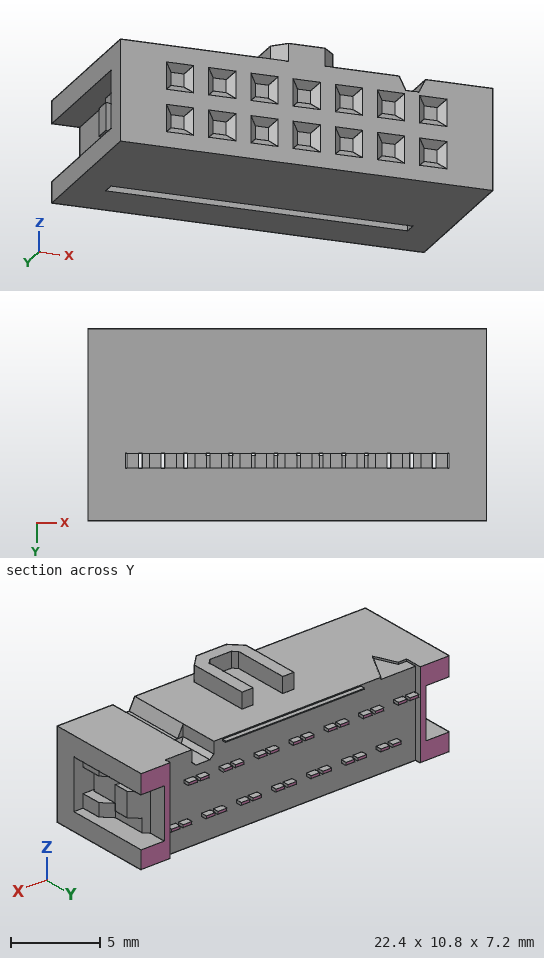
import cadquery as cq


length = 22.4
depth = 10.8
overall_height = 7.2
body_height = 6.12
half_length = length / 2

contacts_per_row = 7
row_span = 15.23
pitch = row_span / (contacts_per_row - 1)
socket_mouth = 1.64
socket_floor = 0.78
socket_depth = 0.4
lower_row_z = 1.75
upper_row_z = lower_row_z + pitch

boss_width = 3.76
boss_length = 5.02
boss_wall = 0.8
boss_outer_chamfer = 0.78
boss_inner_chamfer = 0.3
boss_base = 0.83

slot_length = 18.17
slot_front = 7.0
slot_back = 7.85
narrow_length = 10.08
narrow_back = 7.12
lip_thickness = 0.1

blade_width = 1.5
blade_thickness = 0.2
blade_gap = 0.2
blade_stagger = pitch / 4

mark_depth = 0.13
mark_shoulder_y = 6.23
mark_shoulder_length = 0.6
mark_tip_offset = 1.25
mark_tip_y = 4.75
mark_end_offset = 2.5

key_center_x = 6.36
key_width = 1.6
key_floor_width = 0.78
key_depth = 0.8
key_pocket_front = 4.3
key_pocket_floor_front = 4.48
key_pocket_floor_width = 1.0
key_pocket_extra_depth = 0.27

recess_front = 1.48
recess_bottom = 1.28
recess_top = 4.75
recess_depth = 1.68
ramp_start_y = 6.23
arm_depth = 1.35
latch_bottom = 2.2
latch_top = 3.88
latch_front = 4.23
latch_depth = 0.75
latch_undercut = 0.18
stop_start_y = 3.55
stop_depth = 0.67
arm_front = 1.64
arm_gap_depth = 0.13


def box(x_range, y_range, z_range):
    """Axis-aligned block between the given limits."""
    size = [high - low for low, high in (x_range, y_range, z_range)]
    corner = (x_range[0], y_range[0], z_range[0])
    return cq.Workplane("XY").box(*size, centered=False).translate(corner)


def plan_prism(points, bottom, top):
    """Plan outline in X and Y, extruded between two heights."""
    return cq.Workplane("XY").workplane(offset=bottom).polyline(points).close().extrude(top - bottom)


def sockets():
    """Tapered square mouths of both contact rows."""
    mouth = (
        cq.Workplane("XZ")
        .rect(socket_mouth, socket_mouth)
        .workplane(offset=-socket_depth)
        .rect(socket_floor, socket_floor)
        .loft(ruled=True)
    )
    cutter = cq.Workplane("XY")
    for column in range(contacts_per_row):
        for z in (lower_row_z, upper_row_z):
            cutter = cutter.add(mouth.translate((column * pitch - row_span / 2, 0, z)))
    return cutter.combine()


def boss():
    """U-shaped polarising boss on the top face."""
    outer = boss_width / 2
    inner = outer - boss_wall
    left_half = [
        (-outer + boss_outer_chamfer, 0),
        (-outer, boss_outer_chamfer),
        (-outer, boss_length),
        (-inner, boss_length),
        (-inner, boss_base + boss_inner_chamfer),
        (-inner + boss_inner_chamfer, boss_base),
    ]
    right_half = [(-x, y) for x, y in reversed(left_half)]
    return plan_prism(left_half + right_half, body_height, overall_height)


def cable_slot():
    """Through slot, with a thin lip over the middle of its top opening."""
    half_slot = slot_length / 2
    half_narrow = narrow_length / 2
    slot = box((-half_slot, half_slot), (slot_front, slot_back), (0, body_height))
    lip = box(
        (-half_narrow, half_narrow),
        (narrow_back, slot_back),
        (body_height - lip_thickness, body_height),
    )
    return slot.cut(lip)


def blades():
    """Forked contact blades; each pair of tines leaves a central gap for the wire."""
    tine_width = (blade_width - blade_gap) / 2
    tine_offset = (blade_gap + tine_width) / 2
    tines = cq.Workplane("XY")
    for row_z, stagger in ((lower_row_z, blade_stagger), (upper_row_z, -blade_stagger)):
        for column in range(contacts_per_row):
            blade_x = column * pitch - row_span / 2 + stagger
            for x in (blade_x - tine_offset, blade_x + tine_offset):
                tines = tines.add(
                    box(
                        (x - tine_width / 2, x + tine_width / 2),
                        (slot_front, slot_back),
                        (row_z - blade_thickness / 2, row_z + blade_thickness / 2),
                    )
                )
    return tines.combine()


def pin_one_mark():
    """Shallow arrow-shaped sink at the -X end of the slot."""
    left = -slot_length / 2
    outline = [
        (left, slot_front),
        (left, mark_shoulder_y),
        (left + mark_shoulder_length, mark_shoulder_y),
        (left + mark_tip_offset, mark_tip_y),
        (left + mark_end_offset, slot_front),
    ]
    return plan_prism(outline, body_height - mark_depth, body_height)


def key_groove():
    """Tapered groove from the socket face, opening into a deeper pocket that meets the slot."""
    groove_floor = body_height - key_depth
    groove = (
        cq.Workplane("XZ")
        .polyline(
            [
                (key_center_x - key_width / 2, body_height),
                (key_center_x - key_floor_width / 2, groove_floor),
                (key_center_x + key_floor_width / 2, groove_floor),
                (key_center_x + key_width / 2, body_height),
            ]
        )
        .close()
        .extrude(-slot_front)
    )
    pocket = box(
        (key_center_x - key_width / 2, key_center_x + key_width / 2),
        (key_pocket_front, slot_front),
        (groove_floor, body_height),
    )
    rim_length = slot_front - key_pocket_front
    floor_length = slot_front - key_pocket_floor_front
    pocket_bottom = (
        cq.Workplane("XY", origin=(key_center_x, slot_front, groove_floor))
        .center(0, -rim_length / 2)
        .rect(key_width, rim_length)
        .workplane(offset=-key_pocket_extra_depth)
        .center(0, (rim_length - floor_length) / 2)
        .rect(key_pocket_floor_width, floor_length)
        .loft(ruled=True)
    )
    return groove.union(pocket).union(pocket_bottom)


def latch_recess():
    """Recess in the -X end, open at the back, leaving the latch arm, its hooked catch and two stops."""
    left = -half_length

    def ramp_y(face_depth):
        """Y at which the 45 degree arm ramp reaches a depth below the end face."""
        return ramp_start_y - (recess_depth - face_depth)

    recess = box((left, left + recess_depth), (recess_front, depth), (recess_bottom, recess_top))
    arm = [
        (left + recess_depth, ramp_start_y),
        (left + arm_depth, ramp_y(arm_depth)),
        (left + arm_depth, recess_front),
        (left + recess_depth, recess_front),
    ]
    catch = [
        (left + arm_depth, ramp_y(arm_depth)),
        (left + latch_depth, ramp_y(latch_depth)),
        (left + latch_depth, latch_front),
        (left + arm_depth, latch_front + latch_undercut),
    ]
    stop = [
        (left + arm_depth, stop_start_y),
        (left + stop_depth, stop_start_y - (arm_depth - stop_depth)),
        (left + stop_depth, recess_front),
        (left + arm_depth, recess_front),
    ]
    arm_gap = box(
        (left + arm_depth, left + arm_depth + arm_gap_depth),
        (recess_front, arm_front),
        (latch_bottom, latch_top),
    )
    return (
        recess.cut(plan_prism(arm, recess_bottom, recess_top))
        .cut(plan_prism(catch, latch_bottom, latch_top))
        .cut(plan_prism(stop, recess_bottom, latch_bottom))
        .cut(plan_prism(stop, latch_top, recess_top))
        .union(arm_gap)
    )


body = box((-half_length, half_length), (0, depth), (0, body_height))
left_recess = latch_recess()

result = (
    body.union(boss())
    .cut(sockets())
    .cut(cable_slot())
    .union(blades())
    .cut(pin_one_mark())
    .cut(key_groove())
    .cut(left_recess)
    .cut(left_recess.mirror("YZ"))
)